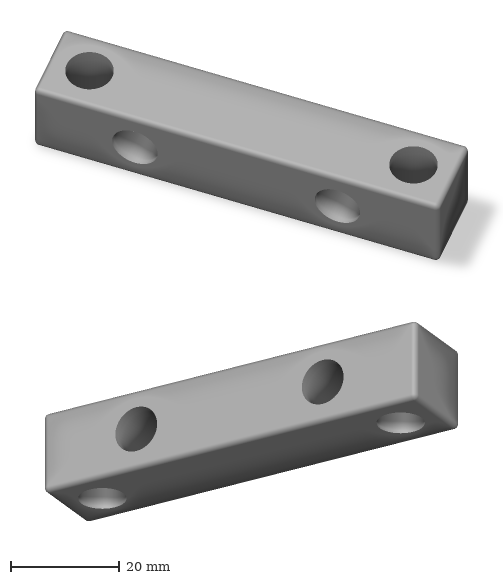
import cadquery as cq

length = 80.0
side = 16.0
edge_radius = 1.0

hole_diameter = 9.0
side_hole_spacing = length / 2
top_hole_spacing = length - side


def drill_pair(body, face, spacing):
    """Drill two through holes into a face, spaced evenly about its centre along X."""
    return (
        body.faces(face)
        .workplane(centerOption="CenterOfBoundBox")
        .rarray(spacing, 0.8, 2, 1)
        .hole(hole_diameter)
    )


bar = cq.Workplane("XY").box(length, side, side).edges().fillet(edge_radius)

bar = drill_pair(bar, "<Y", side_hole_spacing)
result = drill_pair(bar, ">Z", top_hole_spacing)